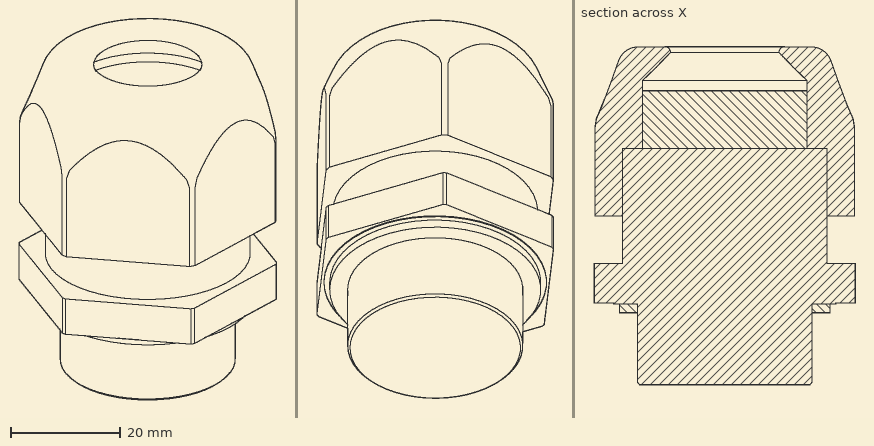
import cadquery as cq
import math

total_height = 61.8
across_flats = 41.65
hex_diameter = across_flats / math.cos(math.pi / 6)

thread_radius = 16.0
thread_chamfer = 0.45
flange_bottom = 14.95
flange_top = 22.2
flange_corner_radius = 23.85
flange_face_radius = 20.35
flange_face_height = 0.2
collar_radius = 18.75
collar_top = 43.3

washer_bottom = 13.15
washer_radius = 19.3
washer_top = flange_bottom - flange_face_height

nut_bottom = 30.85
nut_corner_radius = 23.75
corner_taper_bottom = 47.0
crown_bottom = 48.6
crown_bottom_radius = 23.5
crown_top = 59.2
crown_top_radius = 19.5
nut_face_radius = 15.75

mouth_radius = 9.9
mouth_round = 1.05
cavity_radius = 15.0
cavity_cone_bottom = 55.6

plug_top = 53.8


def cylinder(radius, bottom, top):
    return cq.Workplane("XY").workplane(offset=bottom).circle(radius).extrude(top - bottom)


def hexagon(bottom, top):
    """Hexagonal prism with two flats facing -X and +X."""
    prism = cq.Workplane("XY").workplane(offset=bottom).polygon(6, hex_diameter).extrude(top - bottom)
    return prism.rotate((0, 0, 0), (0, 0, 1), 30)


def make_body():
    thread = cylinder(thread_radius, 0, flange_bottom).faces("<Z").chamfer(thread_chamfer)
    flange_face = cylinder(flange_face_radius, washer_top, flange_bottom)
    flange = hexagon(flange_bottom, flange_top).intersect(
        cylinder(flange_corner_radius, flange_bottom, flange_top)
    )
    collar = cylinder(collar_radius, flange_top, collar_top)
    return thread.union(flange_face).union(flange).union(collar)


def make_washer():
    return cylinder(washer_radius, washer_bottom, washer_top).cut(
        cylinder(thread_radius, washer_bottom, washer_top)
    )


def nut_envelope():
    """Turned outside of the nut: eased corners, conical crown and rounded top edge."""
    slope = math.atan2(crown_bottom_radius - crown_top_radius, crown_top - crown_bottom)
    round_radius = (crown_top_radius - nut_face_radius) / math.cos(slope)
    round_angle = (math.pi / 2 + slope) / 2
    round_middle = (
        nut_face_radius + round_radius * math.cos(round_angle),
        total_height - round_radius * (1 - math.sin(round_angle)),
    )
    return (
        cq.Workplane("XZ")
        .moveTo(0, nut_bottom)
        .lineTo(nut_corner_radius, nut_bottom)
        .lineTo(nut_corner_radius, corner_taper_bottom)
        .lineTo(crown_bottom_radius, crown_bottom)
        .lineTo(crown_top_radius, crown_top)
        .threePointArc(round_middle, (nut_face_radius, total_height))
        .lineTo(0, total_height)
        .close()
        .revolve(360, (0, 0, 0), (0, 1, 0))
    )


def nut_cavity():
    """Turned inside of the nut: collar socket, plug bore, cone and rounded mouth."""
    arc_offset = mouth_round * (1 - math.sqrt(0.5))
    return (
        cq.Workplane("XZ")
        .moveTo(0, nut_bottom)
        .lineTo(collar_radius, nut_bottom)
        .lineTo(collar_radius, collar_top)
        .lineTo(cavity_radius, collar_top)
        .lineTo(cavity_radius, cavity_cone_bottom)
        .lineTo(mouth_radius, total_height - mouth_round)
        .threePointArc(
            (mouth_radius + arc_offset, total_height - arc_offset),
            (mouth_radius + mouth_round, total_height),
        )
        .lineTo(0, total_height)
        .close()
        .revolve(360, (0, 0, 0), (0, 1, 0))
    )


def make_nut():
    return hexagon(nut_bottom, total_height).intersect(nut_envelope()).cut(nut_cavity())


def make_plug():
    return cylinder(cavity_radius, collar_top, plug_top)


body = make_body()
washer = make_washer()
nut = make_nut()
plug = make_plug()

result = cq.Compound.makeCompound([body.val(), washer.val(), nut.val(), plug.val()])